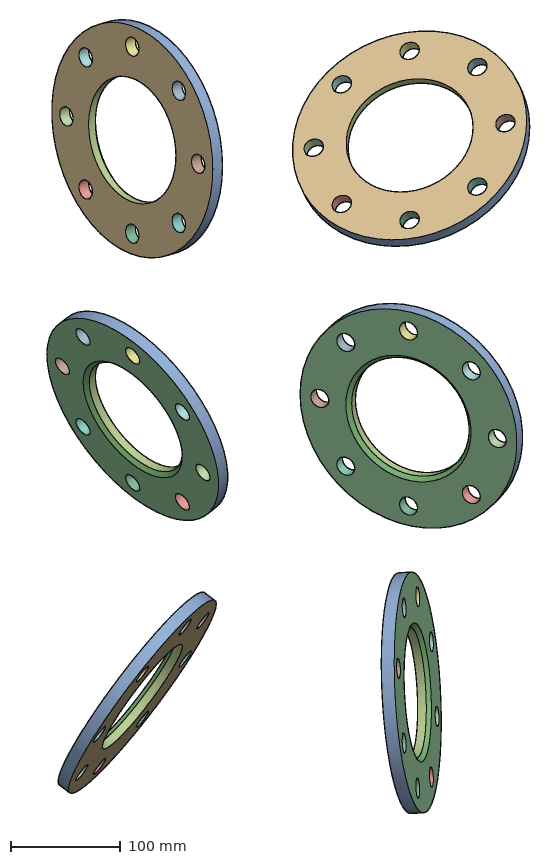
import cadquery as cq

outer_diameter = 220.0
thickness = 12.0
bore_diameter = 119.0
bore_chamfer = 4.0
bolt_circle_diameter = 180.0
bolt_hole_diameter = 18.0
bolt_hole_count = 8

disc = cq.Workplane("XZ").circle(outer_diameter / 2).extrude(thickness)

bore_radius = bore_diameter / 2
bore = (
    cq.Workplane("XY")
    .moveTo(0, 0)
    .lineTo(bore_radius + bore_chamfer, 0)
    .lineTo(bore_radius, -bore_chamfer)
    .lineTo(bore_radius, -thickness)
    .lineTo(0, -thickness)
    .close()
    .revolve(360, (0, 0, 0), (0, 1, 0))
)

bolt_holes = (
    cq.Workplane("XZ")
    .polarArray(bolt_circle_diameter / 2, 0, 360, bolt_hole_count)
    .circle(bolt_hole_diameter / 2)
    .extrude(thickness)
)

result = disc.cut(bore).cut(bolt_holes)